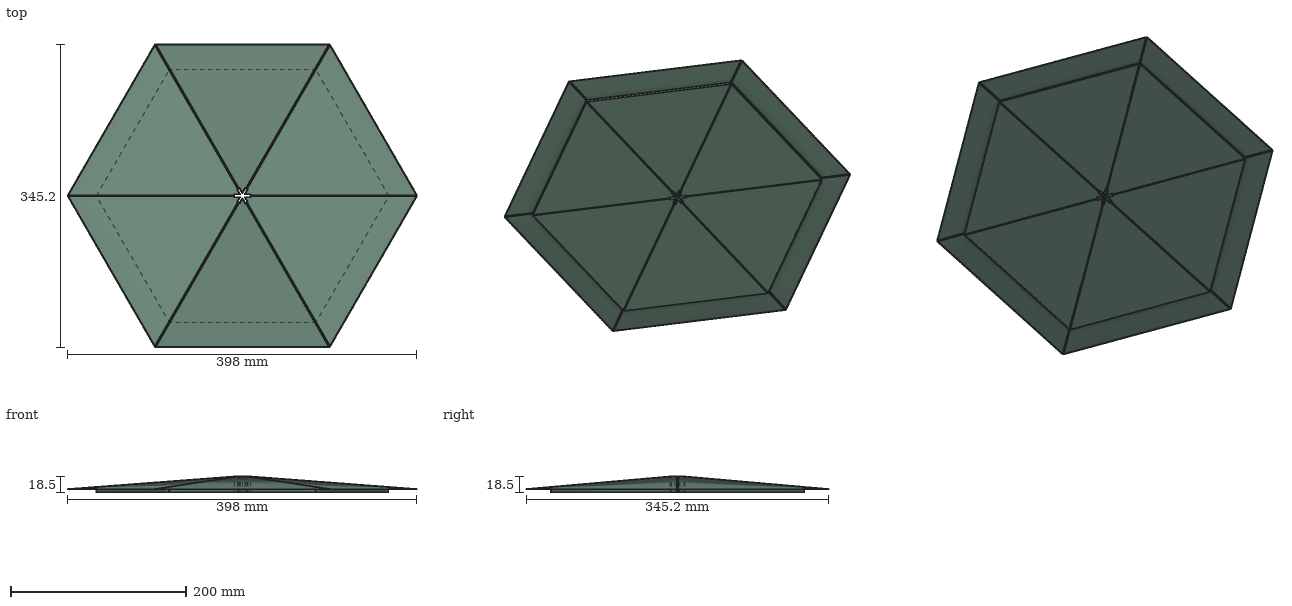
import cadquery as cq
import math

PETAL_COUNT = 6
ROOF_LENGTH = 398.0
BASE_WIDTH = 289.0
BASE_HEIGHT = 3.8
ROOF_RISE = 15.0

SEAM_GAP = 0.95
SLOT_WIDTH = 3.0
SLOT_LENGTH = 9.0

HALF_SECTOR = math.pi / PETAL_COUNT
ROOF_RADIUS = ROOF_LENGTH / 2 + SEAM_GAP / 2 * math.tan(HALF_SECTOR)
ROOF_APOTHEM = ROOF_RADIUS * math.cos(HALF_SECTOR)
BASE_RADIUS = BASE_WIDTH / 2 / math.cos(HALF_SECTOR)


def triangular_sector(radius):
    """One sixth of a hexagon centred on the origin, with its flat side toward -Y."""
    half_side = radius * math.sin(HALF_SECTOR)
    apothem = radius * math.cos(HALF_SECTOR)
    return [(0, 0), (-half_side, -apothem), (half_side, -apothem)]


def roof_sector():
    """Solid sloped wedge that rises from a sharp outer rim to the axis."""
    half_side = ROOF_RADIUS * math.sin(HALF_SECTOR)
    wedge = (
        cq.Workplane("YZ")
        .polyline([(0, BASE_HEIGHT), (-ROOF_APOTHEM, BASE_HEIGHT), (0, BASE_HEIGHT + ROOF_RISE)])
        .close()
        .extrude(half_side, both=True)
    )
    sector = (
        cq.Workplane("XY")
        .polyline(triangular_sector(ROOF_RADIUS))
        .close()
        .extrude(BASE_HEIGHT + ROOF_RISE)
    )
    return wedge.intersect(sector)


def base_sector():
    """Flat plate under the roof, set in from its rim."""
    return cq.Workplane("XY").polyline(triangular_sector(BASE_RADIUS)).close().extrude(BASE_HEIGHT)


def seam_cutter(seam_angle):
    """Narrow gap along one seam, with the wider slot at its inner end."""
    height = BASE_HEIGHT + ROOF_RISE
    gap = cq.Workplane("XY").box(ROOF_RADIUS, SEAM_GAP, height, centered=(False, True, False))
    slot = cq.Workplane("XY").box(SLOT_LENGTH, SLOT_WIDTH, height, centered=(False, True, False))
    return gap.union(slot).rotate((0, 0, 0), (0, 0, 1), seam_angle)


def make_petal():
    """The petal on the -Y side, trimmed along both of its seams."""
    petal = roof_sector().union(base_sector())
    half_sector_degrees = math.degrees(HALF_SECTOR)
    for side in (-1, 1):
        petal = petal.cut(seam_cutter(-90 + side * half_sector_degrees))
    return petal


petals = []
for index in range(PETAL_COUNT):
    petal = make_petal().rotate((0, 0, 0), (0, 0, 1), index * 360 / PETAL_COUNT)
    petals.append(petal.val())

result = cq.Compound.makeCompound(petals)